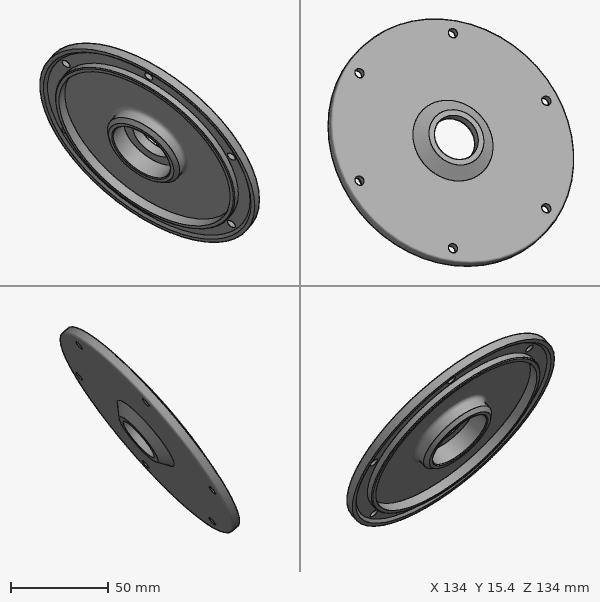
import cadquery as cq
import math

overall_depth = 15.4
boss_front_y = -5.5
boss_back_y = boss_front_y + overall_depth
ring_front_y = -2.4
flange_back_y = 5.1
flange_fillet = 1.1
channel_floor_y = 1.3
pocket_floor_y = 2.8

flange_radius = 67.0
rim_inner_radius = 64.7
channel_floor_radius = 63.1
ring_outer_radius = 55.9
ring_inner_radius = 53.3
ring_chamfer = 0.5

boss_radius = 22.5
boss_front_radius = 20.4
boss_chamfer_depth = 2.1
boss_fillet = 2.1
cone_base_radius = 22.1
cone_tip_radius = 15.1
bore_radius = 17.8
bore_chamfer = 0.5
bore_floor_y = 4.7
through_radius = 12.0

hole_count = 6
hole_circle_radius = 59.5
hole_diameter = 5.0


def revolved_body():
    """Revolve the radius / Y section about the Y axis."""
    fillet_middle_radius = boss_radius + boss_fillet * (1 - math.cos(math.pi / 4))
    fillet_middle_y = pocket_floor_y - boss_fillet * (1 - math.sin(math.pi / 4))
    section = (
        cq.Workplane("XY")
        .moveTo(through_radius, boss_back_y)
        .lineTo(cone_tip_radius, boss_back_y)
        .lineTo(cone_base_radius, flange_back_y)
        .lineTo(flange_radius - flange_fillet, flange_back_y)
        .radiusArc((flange_radius, flange_back_y - flange_fillet), flange_fillet)
        .lineTo(flange_radius, 0)
        .lineTo(rim_inner_radius, 0)
        .lineTo(channel_floor_radius, channel_floor_y)
        .lineTo(ring_outer_radius, channel_floor_y)
        .lineTo(ring_outer_radius, ring_front_y + ring_chamfer)
        .lineTo(ring_outer_radius - ring_chamfer, ring_front_y)
        .lineTo(ring_inner_radius, ring_front_y)
        .lineTo(ring_inner_radius, pocket_floor_y)
        .lineTo(boss_radius + boss_fillet, pocket_floor_y)
        .threePointArc(
            (fillet_middle_radius, fillet_middle_y),
            (boss_radius, pocket_floor_y - boss_fillet),
        )
        .lineTo(boss_radius, boss_front_y + boss_chamfer_depth)
        .lineTo(boss_front_radius, boss_front_y)
        .lineTo(bore_radius + bore_chamfer, boss_front_y)
        .lineTo(bore_radius, boss_front_y + bore_chamfer)
        .lineTo(bore_radius, bore_floor_y)
        .lineTo(through_radius, bore_floor_y)
        .close()
    )
    return section.revolve(360, (0, 0, 0), (0, 1, 0))


def mounting_holes():
    """Holes parallel to Y, with one hole straight above the axis."""
    return (
        cq.Workplane("XZ", origin=(0, flange_back_y, 0))
        .polarArray(hole_circle_radius, 90, 360, hole_count)
        .circle(hole_diameter / 2)
        .extrude(flange_back_y - ring_front_y)
    )


result = revolved_body().cut(mounting_holes())